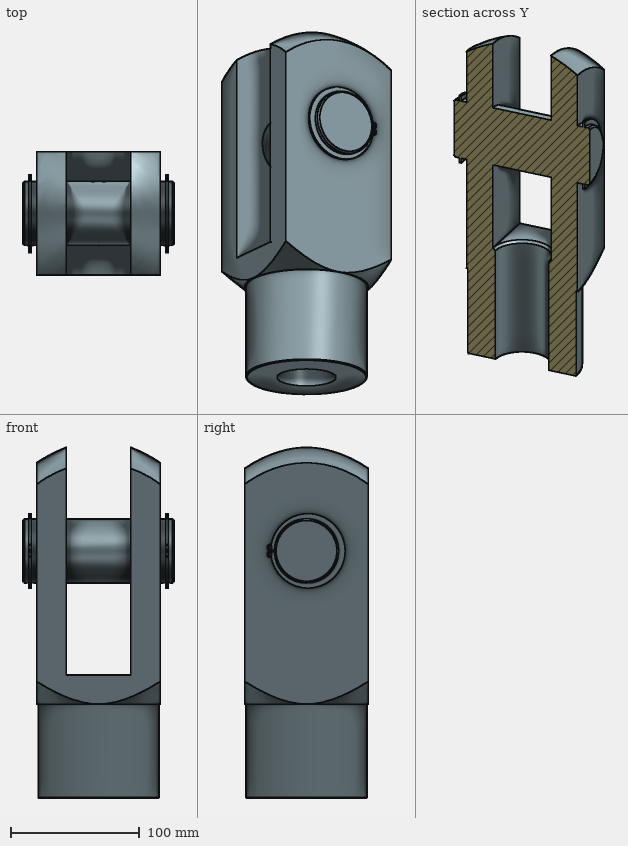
import cadquery as cq
import math

total_height = 272.7
body_width = 96.0
half_width = body_width / 2
shank_diameter = 94.0
shank_height = 73.4
shank_chamfer = 0.8
shoulder_rise = 17.5

slot_width = 50.0
slot_floor = 96.0

crown_side_height = 260.7
crown_corner_height = 244.0

bore_diameter = 45.8
bore_mouth_diameter = 50.0

pin_diameter = 50.0
pin_length = 117.3
pin_height = 192.2
pin_chamfer = 1.4

groove_diameter = 45.5
ring_diameter = 57.8
ring_thickness = 2.0
ring_position = 53.2
ring_offset = 1.0
ear_radius = 2.5
ear_y = -28.0
ear_spacing = 5.2
ear_hole_diameter = 2.5
ear_gap = 1.0


def turned_envelope():
    """Solid of revolution that rounds the crown and the shoulder of the fork."""
    corner_radius = half_width * math.sqrt(2)
    return (
        cq.Workplane("XZ")
        .moveTo(0, shank_height)
        .lineTo(half_width, shank_height)
        .lineTo(corner_radius, shank_height + shoulder_rise)
        .lineTo(corner_radius, crown_corner_height)
        .threePointArc((half_width, crown_side_height), (slot_width / 2, total_height))
        .lineTo(0, total_height)
        .close()
        .revolve(360, (0, 0, 0), (0, 1, 0))
    )


def clevis():
    """Fork and shank with the slot and the chamfered bore."""
    blank_height = 2 * total_height
    fork = cq.Workplane("XY").box(body_width, body_width, blank_height).intersect(turned_envelope())
    shank = (
        cq.Workplane("XY")
        .circle(shank_diameter / 2)
        .extrude(shank_height)
        .faces("<Z")
        .chamfer(shank_chamfer)
    )
    slot = (
        cq.Workplane("XY", origin=(0, 0, slot_floor))
        .rect(slot_width, body_width)
        .extrude(total_height)
    )
    bore = cq.Workplane("XY").circle(bore_diameter / 2).extrude(slot_floor)
    mouth_depth = (bore_mouth_diameter - bore_diameter) / 2
    mouth = (
        cq.Workplane("XY", origin=(0, 0, slot_floor))
        .circle(bore_mouth_diameter / 2)
        .extrude(-mouth_depth, taper=45)
    )
    return fork.union(shank).cut(slot).cut(bore).cut(mouth)


def pin():
    """Clevis pin with chamfered ends."""
    return (
        cq.Workplane("YZ", origin=(-pin_length / 2, 0, pin_height))
        .circle(pin_diameter / 2)
        .extrude(pin_length)
        .faces("<X or >X")
        .chamfer(pin_chamfer)
    )


def retaining_ring(middle_x):
    """Eccentric ring with two drilled ears on the -Y side, split between them."""
    plane = cq.Workplane("YZ", origin=(middle_x - ring_thickness / 2, 0, pin_height))
    ear_centers = [(ear_y, side * ear_spacing / 2) for side in (-1, 1)]
    band = plane.center(ring_offset, 0).circle(ring_diameter / 2).extrude(ring_thickness)
    ears = plane.pushPoints(ear_centers).circle(ear_radius).extrude(ring_thickness)
    seat = plane.circle(groove_diameter / 2).extrude(ring_thickness)
    holes = plane.pushPoints(ear_centers).circle(ear_hole_diameter / 2).extrude(ring_thickness)
    split = plane.center(ear_y, 0).rect(4 * ear_radius, ear_gap).extrude(ring_thickness)
    return band.union(ears).cut(seat).cut(holes).cut(split)


def ring_groove(middle_x):
    """Annular groove in the pin that seats a retaining ring."""
    return (
        cq.Workplane("YZ", origin=(middle_x - ring_thickness / 2, 0, pin_height))
        .circle(pin_diameter / 2)
        .circle(groove_diameter / 2)
        .extrude(ring_thickness)
    )


result = clevis().union(pin())
for end in (-1, 1):
    ring_x = end * ring_position
    result = result.cut(ring_groove(ring_x)).union(retaining_ring(ring_x))